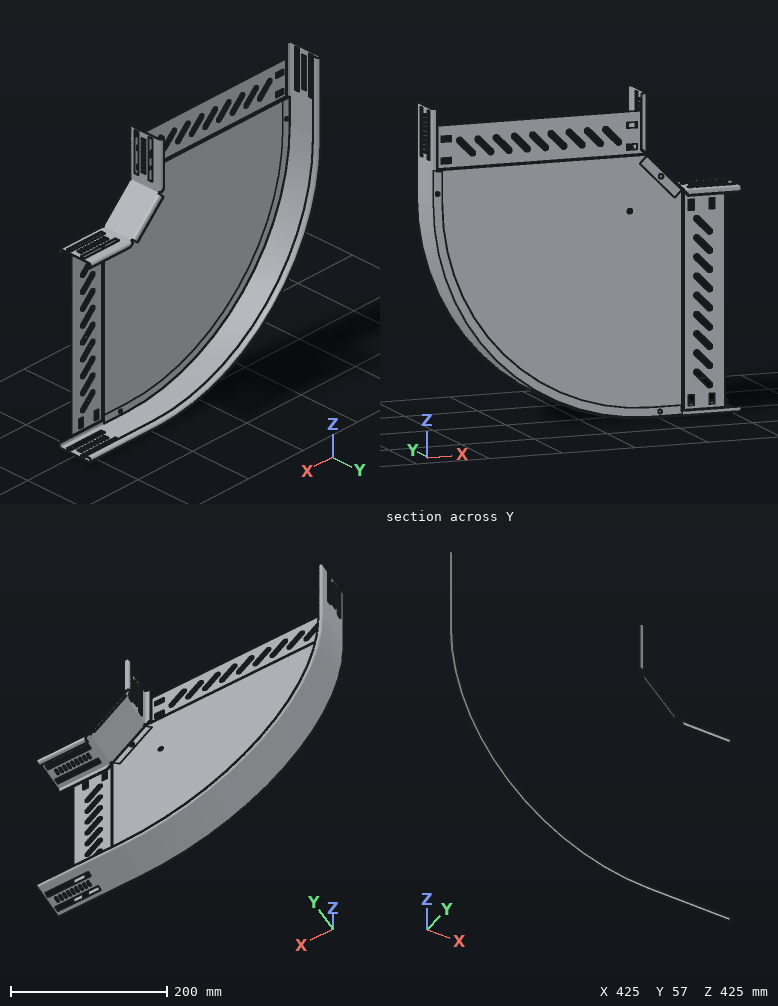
import cadquery as cq
import math


SIZE = 425.0
HEIGHT = 57.0
SHEET = 1.0
TRAY_WIDTH = 296.2
ARM_LENGTH = 79.0
ARC_START = 124.0

END = SIZE / 2
BOTTOM = -HEIGHT / 2
TOP = HEIGHT / 2
OUTER_FACE = -END
INNER_FACE = OUTER_FACE + TRAY_WIDTH
CORNER = END - ARM_LENGTH
ARC_RADIUS = SIZE - ARC_START
ARC_CENTRE = OUTER_FACE + ARC_RADIUS

FLANGE_BEND = 2.35
OUTER_ARM_FLANGE = 7.0
INNER_ARM_FLANGE = 8.0
OUTER_FLANGE = 14.5
OUTER_LIP = 7.2
OUTER_LIP_BEND = 3.5
OUTER_LIP_DROP = 9.8
INNER_FLANGE = 16.0
INNER_LIP = 8.5
INNER_LIP_BEND = 4.0
INNER_LIP_DROP = 8.0
CORNER_BEND = 1.5
WEB_OVERLAP = 8.5
CORNER_RELIEF = 1.0
DIAGONAL_RELIEF = 1.3
ARM_RELIEF_CHAMFER = 7.0

TONGUE_GAP = 1.3
TONGUE_END = 190.5
JOGGLE_START = 131.8
JOGGLE_LENGTH = 2.0
TONGUE_FLARE = 6.0
TONGUE_LEFT = OUTER_FACE + OUTER_ARM_FLANGE + TONGUE_GAP
TONGUE_RIGHT = INNER_FACE - INNER_ARM_FLANGE - TONGUE_GAP
TONGUE_ROOT = JOGGLE_START + JOGGLE_LENGTH
TONGUE_MIDDLE = (TONGUE_LEFT + TONGUE_RIGHT) / 2

ROW_COUNT = 9
TONGUE_SLOT_PITCH = 25.0
TONGUE_SLOT_LENGTH = 32.5
TONGUE_SLOT_WIDTH = 7.2
TONGUE_SLOT_ANGLE = -45
TONGUE_SLOT_Z = 160.2
TONGUE_WINDOW = (13.5, 7.2)
TONGUE_WINDOW_SPACING = (255.0, 28.5)
TONGUE_WINDOW_Z = 158.0
WALL_SLOT_LENGTH = 63.8
WALL_SLOT_WIDTH = 7.0
WALL_SLOT_SPACING = 25.0
WALL_SLOT_Y = -3.2
WALL_SLOT_MARGIN = 4.2
SMALL_SLOT = (7.5, 2.5)
SMALL_SLOT_PITCH = 6.0
RIVET_HOLE = 5.0
RIVET_INSET = 8.0
RIVET_Z = 101.0
BOLT_HOLE = 6.5
DIAGONAL_HOLE = 102.5
FLOOR_HOLE = 60.0

DIAGONAL_LENGTH = (CORNER - INNER_FACE) * math.sqrt(2)
INWARD = (-1, 0, -1)
ALONG_DIAGONAL = (1, 0, -1)


def mirrored(body):
    """The same shape on the other side of the symmetry plane X = Z."""
    return body.mirror(ALONG_DIAGONAL, (0, 0, 0))


def both_arms(body):
    """A shape on the upper arm together with its mirror image on the right arm."""
    return body.union(mirrored(body))


def wall_section(plane, flange, lip, lip_bend, drop=0):
    """Sheet section: flange, wall and lip, whose edge is turned down if a drop is given.

    Local x is the distance inwards from the outside of the wall.
    """
    section = (
        cq.Workplane(plane)
        .moveTo(flange, BOTTOM)
        .lineTo(FLANGE_BEND, BOTTOM)
        .radiusArc((0, BOTTOM + FLANGE_BEND), FLANGE_BEND)
        .lineTo(0, TOP - lip_bend)
        .radiusArc((lip_bend, TOP), lip_bend)
    )
    inside_bend = lip_bend - SHEET
    if drop:
        section = (
            section.lineTo(lip - lip_bend, TOP)
            .radiusArc((lip, TOP - lip_bend), lip_bend)
            .lineTo(lip, TOP - drop)
            .lineTo(lip - SHEET, TOP - drop)
            .lineTo(lip - SHEET, TOP - lip_bend)
            .radiusArc((lip - lip_bend, TOP - SHEET), -inside_bend)
        )
    else:
        section = section.lineTo(lip, TOP).lineTo(lip, TOP - SHEET)
    return (
        section.lineTo(lip_bend, TOP - SHEET)
        .radiusArc((SHEET, TOP - lip_bend), -inside_bend)
        .lineTo(SHEET, BOTTOM + FLANGE_BEND)
        .radiusArc((FLANGE_BEND, BOTTOM + SHEET), SHEET - FLANGE_BEND)
        .lineTo(flange, BOTTOM + SHEET)
        .close()
    )


def xz_prism(points, bottom, height):
    """Prism over an outline in X and Z, rising along +Y from the height `bottom`."""
    return cq.Workplane("XZ", origin=(0, bottom, 0)).polyline(points).close().extrude(-height)


def y_hole(x, z, diameter):
    """Cutter for a round hole through the sheets at the bottom."""
    return cq.Workplane("XZ", origin=(x, BOTTOM - SHEET, z)).circle(diameter / 2).extrude(-4 * SHEET)


def wall_slots():
    """Cutter for the slots through both side walls of the upper arm."""
    middle = END - WALL_SLOT_MARGIN - WALL_SLOT_LENGTH / 2
    plane = cq.Workplane("YZ", origin=(OUTER_FACE - SHEET, WALL_SLOT_Y, middle))
    depth = TRAY_WIDTH + 2 * SHEET
    long_slots = (
        plane.rarray(WALL_SLOT_SPACING, 4.2, 2, 1).rect(WALL_SLOT_WIDTH, WALL_SLOT_LENGTH).extrude(depth)
    )
    small_slots = plane.rarray(4.2, SMALL_SLOT_PITCH, 1, ROW_COUNT).rect(*SMALL_SLOT).extrude(depth)
    return long_slots.union(small_slots)


def tongue_openings():
    """Cutter for the oblique slots and the corner windows of the upper tongue."""
    depth = -3 * SHEET
    slots = (
        cq.Workplane("XZ", origin=(TONGUE_MIDDLE, BOTTOM - SHEET, TONGUE_SLOT_Z))
        .rarray(TONGUE_SLOT_PITCH, 4.2, ROW_COUNT, 1)
        .slot2D(TONGUE_SLOT_LENGTH, TONGUE_SLOT_WIDTH, TONGUE_SLOT_ANGLE)
        .extrude(depth)
    )
    windows = (
        cq.Workplane("XZ", origin=(TONGUE_MIDDLE, BOTTOM - SHEET, TONGUE_WINDOW_Z))
        .rarray(*TONGUE_WINDOW_SPACING, 2, 2)
        .rect(*TONGUE_WINDOW)
        .extrude(depth)
    )
    return slots.union(windows)


def make_tongue():
    """Upper tongue, stepped down by one sheet so that it lies level with the arm flanges."""
    flat = xz_prism(
        [
            (TONGUE_LEFT, TONGUE_ROOT),
            (TONGUE_LEFT, TONGUE_END),
            (TONGUE_RIGHT, TONGUE_END),
            (TONGUE_RIGHT, TONGUE_ROOT + TONGUE_FLARE),
            (TONGUE_RIGHT + TONGUE_FLARE, TONGUE_ROOT),
        ],
        BOTTOM,
        SHEET,
    )
    joggle = (
        cq.Workplane("YZ", origin=(TONGUE_LEFT, 0, 0))
        .moveTo(BOTTOM + SHEET, JOGGLE_START)
        .lineTo(BOTTOM, TONGUE_ROOT)
        .lineTo(BOTTOM + SHEET, TONGUE_ROOT)
        .lineTo(BOTTOM + 2 * SHEET, JOGGLE_START)
        .close()
        .extrude(INNER_FACE - FLANGE_BEND - TONGUE_LEFT)
    )
    return flat.union(joggle).cut(tongue_openings())


def fastener_holes():
    """Cutter for the holes shared by the floor and the side wall flanges."""
    rivet_hole = y_hole(OUTER_FACE + RIVET_INSET, RIVET_Z, RIVET_HOLE)
    return both_arms(rivet_hole).union(y_hole(DIAGONAL_HOLE, DIAGONAL_HOLE, BOLT_HOLE))


def make_floor():
    """Floor plate with its two tongues, lying on the flanges of the side walls."""
    near = OUTER_FACE + FLANGE_BEND
    radius = ARC_CENTRE - near
    arc_middle = ARC_CENTRE - radius * math.sqrt(0.5)
    diagonal_sum = CORNER + INNER_FACE - FLANGE_BEND * math.sqrt(2)
    plate = (
        cq.Workplane("XZ", origin=(0, BOTTOM + SHEET, 0))
        .moveTo(near, JOGGLE_START)
        .lineTo(near, ARC_CENTRE)
        .threePointArc((arc_middle, arc_middle), (ARC_CENTRE, near))
        .lineTo(JOGGLE_START, near)
        .lineTo(JOGGLE_START, diagonal_sum - JOGGLE_START)
        .lineTo(diagonal_sum - JOGGLE_START, JOGGLE_START)
        .close()
        .extrude(-SHEET)
    )
    floor = plate.union(both_arms(make_tongue()))
    return floor.cut(y_hole(FLOOR_HOLE, FLOOR_HOLE, BOLT_HOLE)).cut(fastener_holes())


def outer_section():
    """Section of the outer wall where its upper arm meets the arc."""
    plane = cq.Plane((OUTER_FACE, 0, ARC_CENTRE), (1, 0, 0), (0, 0, 1))
    return wall_section(plane, OUTER_FLANGE, OUTER_LIP, OUTER_LIP_BEND, OUTER_LIP_DROP)


def make_outer_wall():
    """Side wall around the outside of the bend: arm, quarter arc, arm."""
    narrowing = xz_prism(
        [
            (OUTER_FACE + OUTER_ARM_FLANGE, JOGGLE_START - TONGUE_GAP),
            (OUTER_FACE + OUTER_ARM_FLANGE, END),
            (OUTER_FACE + OUTER_FLANGE, END),
            (OUTER_FACE + OUTER_FLANGE, JOGGLE_START - TONGUE_GAP),
        ],
        BOTTOM,
        SHEET,
    )
    arm = outer_section().extrude(ARC_START).cut(narrowing).cut(wall_slots())
    arc = outer_section().revolve(90, (ARC_RADIUS, 4.2), (ARC_RADIUS, 0))
    return arc.union(both_arms(arm)).cut(fastener_holes())


def make_inner_arm():
    """Upper arm of the inner wall; its flange and lip are bevelled next to the corner."""
    plane = cq.Plane((INNER_FACE, 0, END), (-1, 0, 0), (0, 0, -1))
    section = wall_section(plane, INNER_ARM_FLANGE, INNER_LIP, INNER_LIP_BEND, INNER_LIP_DROP)
    arm = section.extrude(ARM_LENGTH - CORNER_RELIEF)
    end = CORNER + CORNER_RELIEF
    bevel = xz_prism(
        [
            (INNER_FACE - INNER_LIP, end),
            (INNER_FACE - INNER_LIP, end + ARM_RELIEF_CHAMFER),
            (INNER_FACE - INNER_LIP + ARM_RELIEF_CHAMFER, end),
        ],
        BOTTOM,
        HEIGHT,
    )
    return arm.cut(bevel).cut(wall_slots())


def make_diagonal():
    """Diagonal part of the inner wall; its flange and lip stop short of the corners."""
    step = DIAGONAL_RELIEF / math.sqrt(2)
    plane = cq.Plane((INNER_FACE + step, 0, CORNER - step), INWARD, ALONG_DIAGONAL)
    section = wall_section(plane, INNER_FLANGE, INNER_LIP, INNER_LIP_BEND)
    length = DIAGONAL_LENGTH - 2 * DIAGONAL_RELIEF
    return section.extrude(length)


def make_web():
    """Upright sheet of the inner wall, bent at the two corners."""
    low = BOTTOM + FLANGE_BEND
    inset = SHEET * math.tan(math.radians(22.5))
    back = INNER_FACE - SHEET
    web_end = CORNER + WEB_OVERLAP
    web = xz_prism(
        [
            (INNER_FACE, web_end),
            (INNER_FACE, CORNER),
            (CORNER, INNER_FACE),
            (web_end, INNER_FACE),
            (web_end, back),
            (CORNER - inset, back),
            (back, CORNER - inset),
            (back, web_end),
        ],
        low,
        TOP - INNER_LIP_BEND - low,
    )
    outer_radius = CORNER_BEND + SHEET
    for x, z in ((INNER_FACE, CORNER), (CORNER, INNER_FACE)):
        web = web.edges("|Y").edges(cq.NearestToPointSelector((x, 0, z))).fillet(CORNER_BEND)
    for x, z in ((back, CORNER - inset), (CORNER - inset, back)):
        web = web.edges("|Y").edges(cq.NearestToPointSelector((x, 0, z))).fillet(outer_radius)
    return web


def make_inner_wall():
    """Side wall around the inside of the bend: arm, diagonal, arm."""
    wall = make_web().union(both_arms(make_inner_arm())).union(make_diagonal())
    return wall.cut(fastener_holes())


floor = make_floor()
outer_wall = make_outer_wall()
inner_wall = make_inner_wall()

result = cq.Compound.makeCompound([floor.val(), outer_wall.val(), inner_wall.val()])